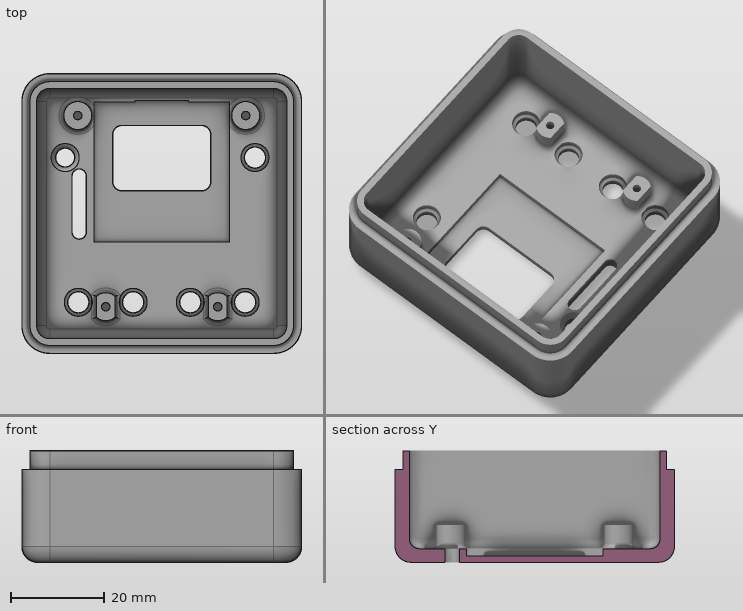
import cadquery as cq

SIDE = 60.0
HEIGHT = 24.0
CORNER_RADIUS = 6.0
BOTTOM_FILLET = 3.5

LIP_HEIGHT = 4.0
LIP_INSET = 1.75
WALL = 3.2
FLOOR = 3.0
CAVITY_FILLET = 2.1

BOSS_DIAMETER = 6.0
BOSS_TOP = 8.0
BOSS_FOOT_FILLET = 1.0
BOSS_FLAT_WIDTH = 4.0
SCREW_HOLE_DIAMETER = 1.8
SCREW_HOLE_DEPTH = 4.0
BACK_BOSS_X = 18.0
BACK_BOSS_Y = 21.0
FRONT_BOSS_X = 12.0
FRONT_BOSS_Y = -20.0

HOLE_DIAMETER = 4.5
COUNTERBORE_DIAMETER = 6.0
COUNTERBORE_DEPTH = 1.5
FRONT_HOLE_OFFSET = 5.9
FRONT_HOLE_Y = -19.0
SIDE_HOLE_X = 20.0
SIDE_HOLE_Y = 12.0

COUNTERSINK_X = -20.7
COUNTERSUNK_HOLE_DIAMETER = 4.0
COUNTERSINK_DIAMETER = 6.0
COUNTERSINK_DEPTH = 1.0

SLOT_X = -17.7
SLOT_Y = 2.05
SLOT_WIDTH = 3.0
SLOT_LENGTH = 15.0

POCKET_WIDTH = 29.1
POCKET_LENGTH = 30.0
POCKET_Y = 8.9
POCKET_DEPTH = 1.5
NOTCH_WIDTH = 11.5
NOTCH_DEPTH = 0.3
WINDOW_WIDTH = 21.0
WINDOW_LENGTH = 14.0
WINDOW_Y = 11.9
WINDOW_RADIUS = 2.0

SELECTION_MARGIN = 0.05


def rounded_block(inset, bottom, top):
    """Square block inset from the outer sides, with concentric rounded corners."""
    side = SIDE - 2 * inset
    block = cq.Workplane("XY", origin=(0, 0, bottom)).rect(side, side).extrude(top - bottom)
    return block.edges("|Z").fillet(CORNER_RADIUS - inset)


def cylinder(x, y, diameter, bottom, top):
    return cq.Workplane("XY", origin=(x, y, bottom)).circle(diameter / 2).extrude(top - bottom)


def floor_boss(x, y, width):
    """Boss of the given width in X, on a disc of floor and flared at its foot."""
    foot_diameter = BOSS_DIAMETER + 2 * BOSS_FOOT_FILLET
    disc = cylinder(x, y, foot_diameter + BOSS_FOOT_FILLET, FLOOR / 2, FLOOR)
    post = cylinder(x, y, BOSS_DIAMETER, FLOOR, BOSS_TOP)
    sides = cq.Workplane("XY", origin=(x, y, FLOOR)).rect(width, BOSS_DIAMETER).extrude(BOSS_TOP - FLOOR)
    boss = disc.union(post.intersect(sides))
    foot = cq.selectors.BoxSelector(
        (x - foot_diameter / 2, y - foot_diameter / 2, FLOOR - SELECTION_MARGIN),
        (x + foot_diameter / 2, y + foot_diameter / 2, FLOOR + SELECTION_MARGIN),
        boundingbox=True,
    )
    return boss.edges(foot).fillet(BOSS_FOOT_FILLET)


body = rounded_block(0, 0, HEIGHT - LIP_HEIGHT).faces("<Z").edges().fillet(BOTTOM_FILLET)
body = body.union(rounded_block(LIP_INSET, HEIGHT / 2, HEIGHT))
body = body.cut(rounded_block(WALL, FLOOR, HEIGHT).faces("<Z").edges().fillet(CAVITY_FILLET))

for side in (-1, 1):
    for x, y, width in (
        (side * BACK_BOSS_X, BACK_BOSS_Y, BOSS_DIAMETER),
        (side * FRONT_BOSS_X, FRONT_BOSS_Y, BOSS_FLAT_WIDTH),
    ):
        body = body.union(floor_boss(x, y, width))
        body = body.cut(cylinder(x, y, SCREW_HOLE_DIAMETER, BOSS_TOP - SCREW_HOLE_DEPTH, BOSS_TOP))

counterbored_holes = [(SIDE_HOLE_X, SIDE_HOLE_Y)]
for boss_x in (-FRONT_BOSS_X, FRONT_BOSS_X):
    counterbored_holes.append((boss_x - FRONT_HOLE_OFFSET, FRONT_HOLE_Y))
    counterbored_holes.append((boss_x + FRONT_HOLE_OFFSET, FRONT_HOLE_Y))
for x, y in counterbored_holes:
    body = body.cut(cylinder(x, y, HOLE_DIAMETER, 0, FLOOR))
    body = body.cut(cylinder(x, y, COUNTERBORE_DIAMETER, FLOOR - COUNTERBORE_DEPTH, FLOOR))

body = body.cut(cylinder(COUNTERSINK_X, SIDE_HOLE_Y, COUNTERSUNK_HOLE_DIAMETER, 0, FLOOR))
countersink = cq.Solid.makeCone(
    COUNTERSUNK_HOLE_DIAMETER / 2,
    COUNTERSINK_DIAMETER / 2,
    COUNTERSINK_DEPTH,
    pnt=cq.Vector(COUNTERSINK_X, SIDE_HOLE_Y, FLOOR - COUNTERSINK_DEPTH),
)
body = body.cut(cq.Workplane(countersink))

slot = cq.Workplane("XY", origin=(SLOT_X, SLOT_Y, 0)).slot2D(SLOT_LENGTH, SLOT_WIDTH, 90).extrude(FLOOR)
body = body.cut(slot)

pocket_floor = FLOOR - POCKET_DEPTH
pocket = (
    cq.Workplane("XY", origin=(0, POCKET_Y, pocket_floor))
    .rect(POCKET_WIDTH, POCKET_LENGTH)
    .extrude(BOSS_TOP - pocket_floor)
)
notch = (
    cq.Workplane("XY", origin=(0, POCKET_Y + NOTCH_DEPTH, pocket_floor))
    .rect(NOTCH_WIDTH, POCKET_LENGTH)
    .extrude(POCKET_DEPTH)
)
window = (
    cq.Workplane("XY", origin=(0, WINDOW_Y, 0))
    .rect(WINDOW_WIDTH, WINDOW_LENGTH)
    .extrude(FLOOR)
    .edges("|Z")
    .fillet(WINDOW_RADIUS)
)

result = body.cut(pocket).cut(notch).cut(window)